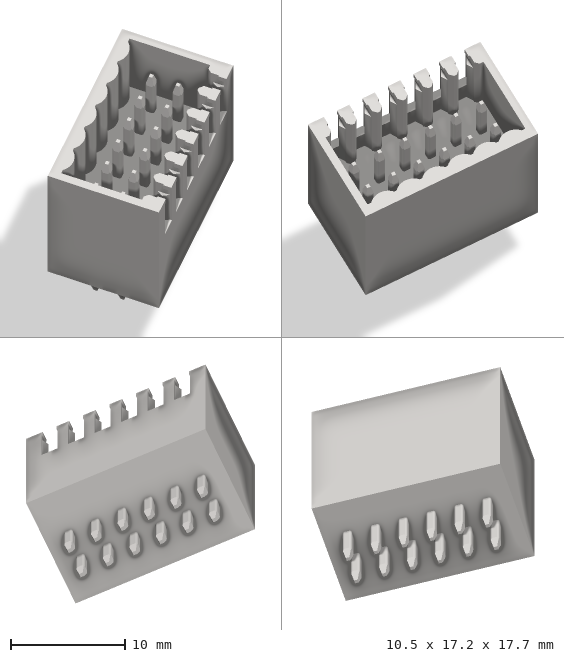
import cadquery as cq

body_x = 10.5
body_y = 17.2
body_z = 14.16
outer_x = body_x / 2

rows = 6
row_span = 12.73
pitch = row_span / (rows - 1)
pin_center_x = -0.32
pin_columns_x = (pin_center_x - pitch / 2, pin_center_x + pitch / 2)
row_positions_y = [i * pitch - row_span / 2 for i in range(rows)]

pin_width = 0.83
pin_corner_radius = 0.21
pin_tip_width = 0.34
pin_taper = 1.06
pin_bottom = -3.54
pin_top = 11.95

floor_z = 7.05
cavity_left_x = -4.27
cavity_right_x = 3.36
cavity_half_y = 7.88

swelling_half_chord = 1.15
swelling_height = 0.51

slot_half = 0.78
rib_tip_half = 0.15
rib_tip_length = 0.35
slot_start_x = cavity_right_x + rib_tip_length
slot_mouth_half = pitch / 2 - rib_tip_half

step_x = 4.48
lip_half_gap = 0.65
lip_height = 0.53
wedge_half_base = 0.58
wedge_depth = 0.35
wedge_top = 12.87
sill_top = 9.2


def box(x0, x1, y0, y1, z0, z1):
    """Axis-aligned box between the given limits."""
    return cq.Workplane("XY").box(x1 - x0, y1 - y0, z1 - z0, centered=False).translate((x0, y0, z0))


def make_cavity():
    """Cavity with one arc per row along its left wall."""
    outline = cq.Workplane("XY", origin=(0, 0, floor_z))
    outline = outline.moveTo(cavity_right_x, -cavity_half_y).lineTo(cavity_left_x, -cavity_half_y)
    for y in row_positions_y:
        outline = outline.lineTo(cavity_left_x, y - swelling_half_chord).threePointArc(
            (cavity_left_x + swelling_height, y), (cavity_left_x, y + swelling_half_chord)
        )
    outline = outline.lineTo(cavity_left_x, cavity_half_y).lineTo(cavity_right_x, cavity_half_y)
    return outline.close().extrude(body_z - floor_z)


def make_slot(y):
    """Through slot whose flared mouth leaves pointed ribs between neighbours."""
    points = [
        (cavity_right_x, y - slot_mouth_half),
        (slot_start_x, y - slot_half),
        (outer_x, y - slot_half),
        (outer_x, y + slot_half),
        (slot_start_x, y + slot_half),
        (cavity_right_x, y + slot_mouth_half),
    ]
    return cq.Workplane("XY", origin=(0, 0, floor_z)).polyline(points).close().extrude(body_z - floor_z)


def make_slot_details(y):
    """Sill across the slot, plus a top lip and a vertical wedge on each slot side."""
    details = box(step_x, outer_x, y - slot_half, y + slot_half, floor_z, sill_top)
    for side in (-1, 1):
        wall_y = y + side * slot_half
        lip_edges = sorted((wall_y, y + side * lip_half_gap))
        lip = box(step_x, outer_x, *lip_edges, body_z - lip_height, body_z)
        wedge = (
            cq.Workplane("XY", origin=(0, 0, floor_z))
            .moveTo(step_x - wedge_half_base, wall_y)
            .lineTo(step_x, wall_y - side * wedge_depth)
            .lineTo(step_x + wedge_half_base, wall_y)
            .close()
            .extrude(wedge_top - floor_z)
        )
        details = details.union(lip).union(wedge)
    return details


def make_pin():
    """Square pin with rounded corners and a pyramid taper at both ends."""
    length = pin_top - pin_bottom
    shank = (
        cq.Workplane("XY", origin=(0, 0, pin_bottom))
        .rect(pin_width, pin_width)
        .extrude(length)
        .edges("|Z")
        .fillet(pin_corner_radius)
    )
    half = pin_width / 2
    tip_half = pin_tip_width / 2
    profile = [
        (-tip_half, pin_bottom),
        (tip_half, pin_bottom),
        (half, pin_bottom + pin_taper),
        (half, pin_top - pin_taper),
        (tip_half, pin_top),
        (-tip_half, pin_top),
        (-half, pin_top - pin_taper),
        (-half, pin_bottom + pin_taper),
    ]
    for plane in ("XZ", "YZ"):
        taper = cq.Workplane(plane).polyline(profile).close().extrude(pin_width, both=True)
        shank = shank.intersect(taper)
    return shank


result = cq.Workplane("XY").box(body_x, body_y, body_z, centered=(True, True, False))
result = result.cut(make_cavity())
for row_y in row_positions_y:
    result = result.cut(make_slot(row_y)).union(make_slot_details(row_y))

pin = make_pin()
for row_y in row_positions_y:
    for column_x in pin_columns_x:
        result = result.union(pin.translate((column_x, row_y, 0)))